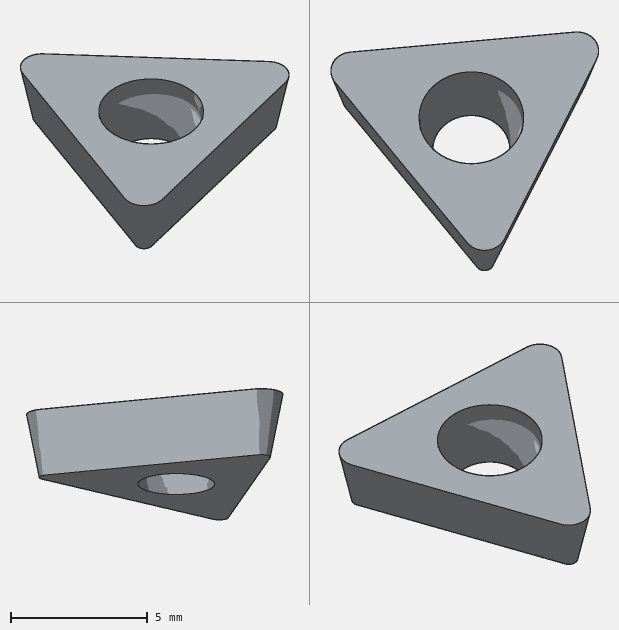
import cadquery as cq
import math

width = 9.84
thickness = 2.38
corner_radius = 0.8
relief_angle = 11.0

bore_diameter = 2.8
recess_diameter = 3.83
recess_depth = 0.6
recess_wall_angle = 4.0
blend_radius = 0.3
seat_radius = 2.5

corner_spacing = width - 2 * corner_radius
corner_circle_diameter = 2 * corner_spacing / math.sqrt(3)


def make_body():
    """Rounded triangle at the top face, narrowing downward by the relief angle."""
    corner_triangle = (
        cq.Workplane("XY")
        .workplane(offset=thickness)
        .transformed(rotate=(0, 0, 90))
        .polygon(3, corner_circle_diameter)
    )
    return corner_triangle.offset2D(corner_radius, "arc").extrude(-thickness, taper=relief_angle)


def arc_point(centre, radius, angle):
    """Point on a profile arc; the angle is measured downward from the outward direction."""
    return (centre[0] + radius * math.cos(angle), centre[1] - radius * math.sin(angle))


def make_screw_hole():
    """Revolved cutter: straight bore, rounded seat, blend and slightly conical recess."""
    bore_radius = bore_diameter / 2
    recess_radius = recess_diameter / 2
    wall_angle = math.radians(recess_wall_angle)

    blend_start = (recess_radius - recess_depth * math.tan(wall_angle), thickness - recess_depth)
    blend_centre = (
        blend_start[0] - blend_radius * math.cos(wall_angle),
        blend_start[1] + blend_radius * math.sin(wall_angle),
    )

    seat_centre_x = bore_radius + seat_radius
    seat_angle = math.acos((seat_centre_x - blend_centre[0]) / (seat_radius + blend_radius))
    seat_centre = arc_point(blend_centre, blend_radius + seat_radius, seat_angle)
    blend_middle = arc_point(blend_centre, blend_radius, (wall_angle + seat_angle) / 2)
    seat_top = arc_point(blend_centre, blend_radius, seat_angle)
    seat_middle = arc_point(seat_centre, seat_radius, math.pi + seat_angle / 2)

    return (
        cq.Workplane("XZ")
        .lineTo(bore_radius, 0)
        .lineTo(bore_radius, seat_centre[1])
        .threePointArc(seat_middle, seat_top)
        .threePointArc(blend_middle, blend_start)
        .lineTo(recess_radius, thickness)
        .lineTo(0, thickness)
        .close()
        .revolve(360, (0, 0, 0), (0, 1, 0))
    )


result = make_body().cut(make_screw_hole())